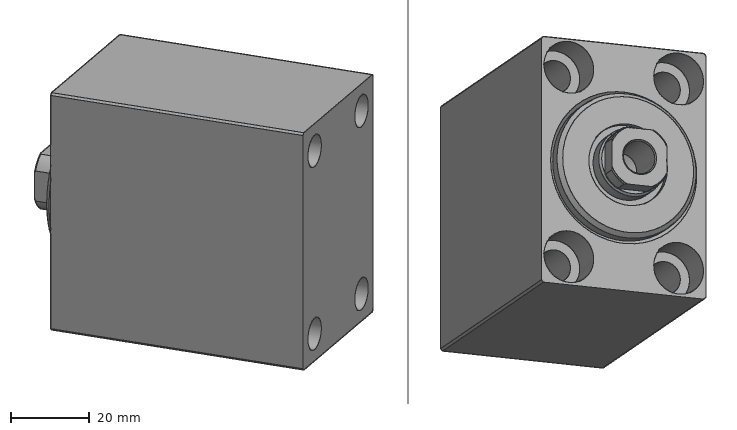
import cadquery as cq
import math


total_length = 81.0
housing_length = 70.0
housing_width = 45.0
housing_height = 65.0
edge_chamfer = 0.6

bolt_spacing_y = 30.05
bolt_spacing_z = 50.05
bolt_diameter = 8.6
counterbore_diameter = 13.6
counterbore_depth = 9.7

gland_diameter = 38.1
gland_projection = 3.1
gland_seat_depth = 16.2
gland_chamfer = 1.1
bore_mouth_chamfer = 1.0
wiper_recess_diameter = 21.5
wiper_recess_depth = 1.5

rod_diameter = 18.0
shoulder_chamfer = 0.6
rod_projection = total_length - housing_length
wrench_length = 4.95
wrench_diameter = 17.1
wrench_flats = 15.0
tip_chamfer = 0.3

socket_diameter = 8.6
socket_depth = 13.0
socket_mouth_chamfer = 0.3
drill_point_angle = 118.0


def cylinder(diameter, start, end):
    """Cylinder on the X axis between two X positions."""
    return cq.Workplane("YZ", origin=(start, 0, 0)).circle(diameter / 2).extrude(end - start)


def revolve_about_x(points):
    """Solid of revolution from (x, radius) points."""
    return cq.Workplane("XY").polyline(points).close().revolve(360, (0, 0, 0), (1, 0, 0))


def make_housing():
    block = (
        cq.Workplane("XY")
        .box(housing_length, housing_width, housing_height, centered=(False, True, True))
        .edges("|X")
        .chamfer(edge_chamfer)
    )
    gland_bore = cylinder(gland_diameter, 0, gland_seat_depth)
    bore_radius = gland_diameter / 2
    bore_mouth = revolve_about_x([
        (0, 0),
        (0, bore_radius + bore_mouth_chamfer),
        (bore_mouth_chamfer, bore_radius),
        (bore_mouth_chamfer, 0),
    ])
    return (
        block.cut(gland_bore)
        .cut(bore_mouth)
        .faces("<X")
        .workplane(origin=(0, 0, 0))
        .rarray(bolt_spacing_y, bolt_spacing_z, 2, 2)
        .cboreHole(bolt_diameter, counterbore_diameter, counterbore_depth)
    )


def make_gland():
    radius = gland_diameter / 2
    body = revolve_about_x([
        (-gland_projection, 0),
        (-gland_projection, radius - gland_chamfer),
        (-gland_projection + gland_chamfer, radius),
        (gland_seat_depth, radius),
        (gland_seat_depth, 0),
    ])
    wiper_recess = cylinder(
        wiper_recess_diameter, -gland_projection, -gland_projection + wiper_recess_depth
    )
    rod_hole = cylinder(rod_diameter, -gland_projection, gland_seat_depth)
    return body.cut(wiper_recess).cut(rod_hole)


def make_socket():
    """Drilled hole with a chamfered mouth and a conical bottom."""
    radius = socket_diameter / 2
    tip = -rod_projection
    cone_length = radius / math.tan(math.radians(drill_point_angle / 2))
    return revolve_about_x([
        (tip, 0),
        (tip, radius + socket_mouth_chamfer),
        (tip + socket_mouth_chamfer, radius),
        (tip + socket_depth, radius),
        (tip + socket_depth + cone_length, 0),
    ])


def make_rod():
    tip = -rod_projection
    shoulder = tip + wrench_length
    shank = cylinder(rod_diameter, shoulder, gland_seat_depth).faces("<X").chamfer(shoulder_chamfer)
    wrench_round = cylinder(wrench_diameter, tip, shoulder).faces("<X").chamfer(tip_chamfer)
    wrench_square = (
        cq.Workplane("YZ", origin=(tip, 0, 0))
        .rect(wrench_flats, wrench_flats)
        .extrude(wrench_length)
    )
    wrench_end = wrench_round.intersect(wrench_square)
    return shank.union(wrench_end).cut(make_socket())


housing = make_housing()
gland = make_gland()
rod = make_rod()

result = cq.Compound.makeCompound([housing.val(), gland.val(), rod.val()])